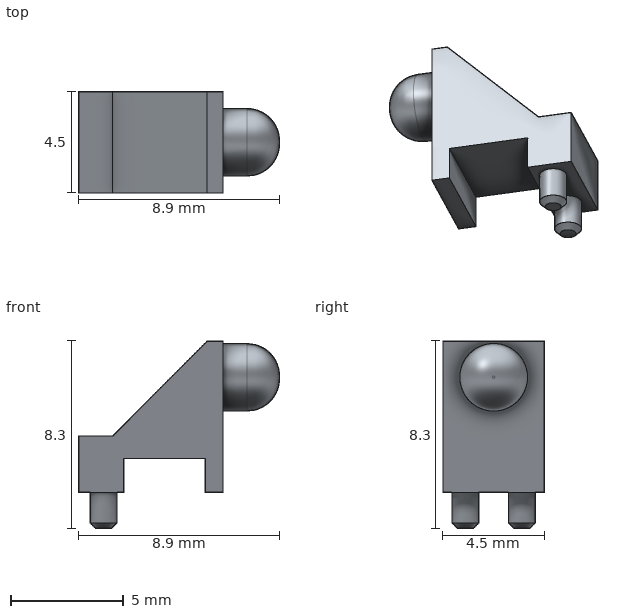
import cadquery as cq

body_length = 6.4
body_width = 4.5
body_height = 6.7
ledge_length = 1.5
ledge_height = 2.5
top_land_length = 0.71
slope_end = body_length - top_land_length

front_foot_length = 2.0
rear_foot_length = 0.8
channel_height = 1.5

lens_diameter = 3.0
lens_length = 2.5
tip_flat_radius = 0.05
lens_nose_radius = lens_diameter / 2 - tip_flat_radius
lens_height = 5.1

pin_diameter = 1.2
pin_length = 1.6
pin_chamfer = 0.25
pin_x = 1.1
pin_pitch = 2.5


def make_body():
    channel_end = body_length - rear_foot_length
    outline = [
        (0, 0),
        (front_foot_length, 0),
        (front_foot_length, channel_height),
        (channel_end, channel_height),
        (channel_end, 0),
        (body_length, 0),
        (body_length, body_height),
        (slope_end, body_height),
        (ledge_length, ledge_height),
        (0, ledge_height),
    ]
    return cq.Workplane("XZ").polyline(outline).close().extrude(body_width / 2, both=True)


def make_lens():
    return (
        cq.Workplane("YZ", origin=(body_length, 0, lens_height))
        .circle(lens_diameter / 2)
        .extrude(lens_length)
        .faces(">X")
        .edges()
        .fillet(lens_nose_radius)
    )


def make_pin(y):
    return (
        cq.Workplane("XY", origin=(pin_x, y, 0))
        .circle(pin_diameter / 2)
        .extrude(-pin_length)
        .faces("<Z")
        .chamfer(pin_chamfer)
    )


result = make_body().union(make_lens())
for side in (-1, 1):
    result = result.union(make_pin(side * pin_pitch / 2))